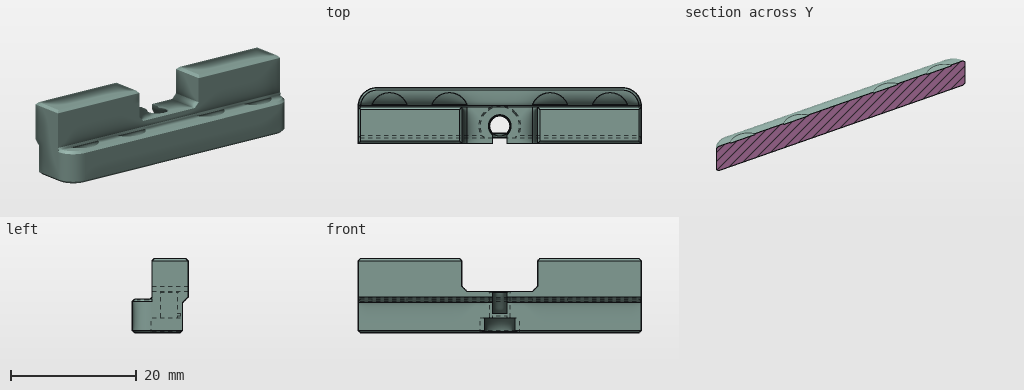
import cadquery as cq

OVERALL_LENGTH = 45.0
OVERALL_DEPTH = 8.9
OVERALL_HEIGHT = 11.84
EDGE_CHAMFER = 0.4

BODY_DEPTH = 5.8
UNDERCUT_DEPTH = 0.9
UNDERCUT_TOP = 5.7

LEDGE_HEIGHT = 5.4
LEDGE_CORNER_RADIUS = 3.0
ROOT_CHAMFER = 0.25

NOTCH_WIDTH = 12.0
NOTCH_FLOOR = 6.6
NOTCH_CORNER_CHAMFER = 0.8

RECESS_DIAMETER = 6.0
RECESS_DEPTH = 0.2
RECESS_CENTER_Y = 5.1
RECESS_OFFSETS = (8.0, 17.5)
RECESS_FRONT_GAP = 0.4

HOLE_CENTER_Y = 2.8
HOLE_DIAMETER = 3.2
HOLE_CHAMFER = 0.2
COUNTERBORE_DIAMETER = 6.2
COUNTERBORE_DEPTH = 2.4
COUNTERBORE_CHAMFER = 0.2
SLOT_WIDTH = 2.3
SLOT_FLOOR = 3.1
BRIDGE_THICKNESS = 0.3


def box_between(low, high):
    """Axis-aligned box between two opposite corners."""
    size = [b - a for a, b in zip(low, high)]
    return cq.Workplane("XY").box(*size, centered=False).translate(low)


def vertical_cylinder(diameter, center_x, center_y, bottom, top):
    return (
        cq.Workplane("XY", origin=(center_x, center_y, bottom))
        .circle(diameter / 2)
        .extrude(top - bottom)
    )


def make_ledge():
    """Low rear ledge with rounded rear corners and chamfered free edges."""
    ledge = box_between(
        (-OVERALL_LENGTH / 2, BODY_DEPTH, 0),
        (OVERALL_LENGTH / 2, OVERALL_DEPTH, LEDGE_HEIGHT),
    )
    ledge = ledge.edges("|Z and >Y").fillet(LEDGE_CORNER_RADIUS)
    return ledge.faces("<Z or >Z").edges("not <Y").chamfer(EDGE_CHAMFER)


def make_body():
    """Main body with the front undercut, the notch and chamfered top and bottom edges."""
    side_profile = [
        (UNDERCUT_DEPTH, 0),
        (UNDERCUT_DEPTH, UNDERCUT_TOP - UNDERCUT_DEPTH),
        (0, UNDERCUT_TOP),
        (0, OVERALL_HEIGHT),
        (BODY_DEPTH, OVERALL_HEIGHT),
        (BODY_DEPTH, 0),
    ]
    body = (
        cq.Workplane("YZ")
        .polyline(side_profile)
        .close()
        .extrude(OVERALL_LENGTH / 2, both=True)
    )
    half_width = NOTCH_WIDTH / 2
    floor_half_width = half_width - NOTCH_CORNER_CHAMFER
    corner_top = NOTCH_FLOOR + NOTCH_CORNER_CHAMFER
    notch_profile = [
        (-half_width, OVERALL_HEIGHT),
        (-half_width, corner_top),
        (-floor_half_width, NOTCH_FLOOR),
        (floor_half_width, NOTCH_FLOOR),
        (half_width, corner_top),
        (half_width, OVERALL_HEIGHT),
    ]
    notch = cq.Workplane("XZ").polyline(notch_profile).close().extrude(-BODY_DEPTH)
    body = body.cut(notch).faces(">Z").chamfer(EDGE_CHAMFER)
    return body.faces("<Z").edges("not >Y").chamfer(EDGE_CHAMFER)


def make_root_chamfer():
    """Small sloped strip in the corner between the ledge top and the body."""
    strip_profile = [
        (BODY_DEPTH, LEDGE_HEIGHT),
        (BODY_DEPTH + ROOT_CHAMFER, LEDGE_HEIGHT),
        (BODY_DEPTH, LEDGE_HEIGHT + ROOT_CHAMFER),
    ]
    return (
        cq.Workplane("YZ")
        .polyline(strip_profile)
        .close()
        .extrude(OVERALL_LENGTH / 2, both=True)
    )


def make_ledge_recesses():
    """Circle segments cut into the ledge top, two on each side of the middle."""
    behind_body = box_between(
        (-OVERALL_LENGTH / 2, BODY_DEPTH + RECESS_FRONT_GAP, 0),
        (OVERALL_LENGTH / 2, OVERALL_DEPTH, OVERALL_HEIGHT),
    )
    recesses = cq.Workplane("XY")
    for offset in RECESS_OFFSETS:
        for center_x in (-offset, offset):
            disc = vertical_cylinder(
                RECESS_DIAMETER,
                center_x,
                RECESS_CENTER_Y,
                LEDGE_HEIGHT - RECESS_DEPTH,
                LEDGE_HEIGHT,
            )
            recesses = recesses.add(disc.intersect(behind_body))
    return recesses.combine()


def make_screw_cutout():
    """Chamfered hole, bottom counterbore and front slot, with a bridge left over the counterbore."""
    hole_radius = HOLE_DIAMETER / 2
    bridge_edge_y = HOLE_CENTER_Y - (hole_radius**2 - (SLOT_WIDTH / 2) ** 2) ** 0.5
    bridge_top = COUNTERBORE_DEPTH + BRIDGE_THICKNESS

    upper_hole = vertical_cylinder(HOLE_DIAMETER, 0, HOLE_CENTER_Y, bridge_top, NOTCH_FLOOR)
    bridge_opening = vertical_cylinder(
        HOLE_DIAMETER, 0, HOLE_CENTER_Y, COUNTERBORE_DEPTH, bridge_top
    ).intersect(
        box_between(
            (-hole_radius, bridge_edge_y, COUNTERBORE_DEPTH),
            (hole_radius, BODY_DEPTH, bridge_top),
        )
    )
    counterbore = vertical_cylinder(
        COUNTERBORE_DIAMETER, 0, HOLE_CENTER_Y, 0, COUNTERBORE_DEPTH
    )
    slot = box_between(
        (-SLOT_WIDTH / 2, 0, SLOT_FLOOR),
        (SLOT_WIDTH / 2, HOLE_CENTER_Y, NOTCH_FLOOR),
    )
    hole_rim = (
        cq.Workplane("XY", origin=(0, HOLE_CENTER_Y, NOTCH_FLOOR - HOLE_CHAMFER))
        .circle(hole_radius)
        .workplane(offset=HOLE_CHAMFER)
        .circle(hole_radius + HOLE_CHAMFER)
        .loft()
    )
    counterbore_rim = (
        cq.Workplane("XY", origin=(0, HOLE_CENTER_Y, 0))
        .circle(COUNTERBORE_DIAMETER / 2 + COUNTERBORE_CHAMFER)
        .workplane(offset=COUNTERBORE_CHAMFER)
        .circle(COUNTERBORE_DIAMETER / 2)
        .loft()
    )
    cutout = upper_hole
    for piece in (bridge_opening, counterbore, slot, hole_rim, counterbore_rim):
        cutout = cutout.union(piece)
    return cutout


result = (
    make_body()
    .union(make_ledge())
    .union(make_root_chamfer())
    .cut(make_ledge_recesses())
    .cut(make_screw_cutout())
)